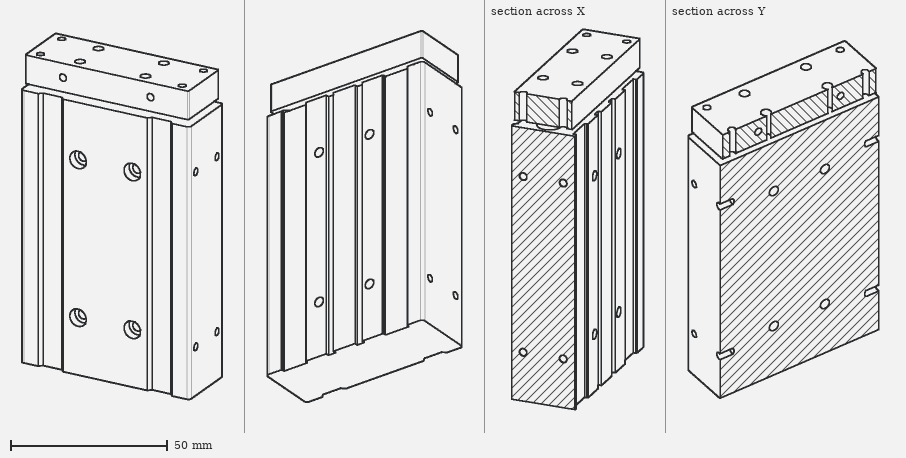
import cadquery as cq
import math

TOTAL_HEIGHT = 107.0
HOUSING_WIDTH = 62.0
HOUSING_DEPTH = 22.0
HOUSING_HEIGHT = 95.0
HOUSING_CORNER_RADIUS = 1.1

PLATE_WIDTH = 59.9
PLATE_DEPTH = 20.0
PLATE_HEIGHT = 10.0
PLATE_CORNER_RADIUS = 0.5
PLATE_BOTTOM = TOTAL_HEIGHT - PLATE_HEIGHT

ROD_GAP = PLATE_BOTTOM - HOUSING_HEIGHT
GUIDE_ROD_DIAMETER = 8.0
GUIDE_ROD_X = 20.9
PISTON_ROD_DIAMETER = 6.0

CHANNEL_INNER_X = 15.4
CHANNEL_OUTER_X = 24.6
CHANNEL_DEPTH = 1.2
FRONT_SLOPE_WIDTH = 1.2
BACK_CHAMFER = 0.37

SLOT_WIDTH = 2.8
SLOT_DEPTH = CHANNEL_DEPTH
SLOT_X = 5.7

TAP_DIAMETER = 2.5
DRILL_POINT_ANGLE = 118.0
TAP_DEPTH = 5.0

MOUNT_DIAMETER = 3.3
MOUNT_BORE_DIAMETER = 6.0
MOUNT_BORE_DEPTH = 3.3
MOUNT_X = 10.0
MOUNT_END_DISTANCE = 20.0

SIDE_TAP_Y = 7.0
SIDE_TAP_END_DISTANCE = 17.0

PLATE_FRONT_TAP_X = 16.0
PLATE_HOLE_DIAMETER = 3.3
PLATE_HOLE_X = 12.0
PLATE_HOLE_Y = 6.0
PLATE_CORNER_HOLE_X = 26.0
PLATE_CORNER_HOLE_Y = 7.0


def upright_block(width, depth, height, corner_radius):
    """Block standing on Z = 0 with rounded vertical edges."""
    block = cq.Workplane("XY").box(width, depth, height, centered=(True, True, False))
    return block.edges("|Z").fillet(corner_radius)


def front_channel(side):
    """Full-length channel in the front face, with walls sloping all the way to its floor."""
    face_y = -HOUSING_DEPTH / 2
    floor_y = face_y + CHANNEL_DEPTH
    outline = [
        (side * CHANNEL_INNER_X, face_y),
        (side * (CHANNEL_INNER_X + FRONT_SLOPE_WIDTH), floor_y),
        (side * (CHANNEL_OUTER_X - FRONT_SLOPE_WIDTH), floor_y),
        (side * CHANNEL_OUTER_X, face_y),
    ]
    return cq.Workplane("XY").polyline(outline).close().extrude(HOUSING_HEIGHT)


def back_channel(side):
    """Full-length straight-walled channel in the back face, chamfered along both mouth edges."""
    face_y = HOUSING_DEPTH / 2
    floor_y = face_y - CHANNEL_DEPTH
    outline = [
        (side * (CHANNEL_INNER_X - BACK_CHAMFER), face_y),
        (side * CHANNEL_INNER_X, face_y - BACK_CHAMFER),
        (side * CHANNEL_INNER_X, floor_y),
        (side * CHANNEL_OUTER_X, floor_y),
        (side * CHANNEL_OUTER_X, face_y - BACK_CHAMFER),
        (side * (CHANNEL_OUTER_X + BACK_CHAMFER), face_y),
    ]
    return cq.Workplane("XY").polyline(outline).close().extrude(HOUSING_HEIGHT)


def back_slot(x):
    """Full-length square slot in the back face."""
    slot = cq.Workplane("XY").box(SLOT_WIDTH, SLOT_DEPTH, HOUSING_HEIGHT, centered=(True, False, False))
    return slot.translate((x, HOUSING_DEPTH / 2 - SLOT_DEPTH, 0))


def blind_tap(start, direction):
    """Drilled blind hole with a conical tip, starting at a face and going along direction."""
    radius = TAP_DIAMETER / 2
    tip_length = radius / math.tan(math.radians(DRILL_POINT_ANGLE / 2))
    origin = cq.Vector(*start)
    axis = cq.Vector(*direction)
    shank = cq.Solid.makeCylinder(radius, TAP_DEPTH, origin, axis)
    tip = cq.Solid.makeCone(radius, 0, tip_length, origin + axis * TAP_DEPTH, axis)
    return cq.Workplane(shank.fuse(tip))


def mount_hole(x, z):
    """Hole through the housing along Y, counterbored from the front."""
    front = cq.Vector(x, -HOUSING_DEPTH / 2, z)
    along_y = cq.Vector(0, 1, 0)
    through = cq.Solid.makeCylinder(MOUNT_DIAMETER / 2, HOUSING_DEPTH, front, along_y)
    bore = cq.Solid.makeCylinder(MOUNT_BORE_DIAMETER / 2, MOUNT_BORE_DEPTH, front, along_y)
    return cq.Workplane(through.fuse(bore))


def make_housing():
    body = upright_block(HOUSING_WIDTH, HOUSING_DEPTH, HOUSING_HEIGHT, HOUSING_CORNER_RADIUS)

    for side in (-1, 1):
        body = body.cut(front_channel(side))
        body = body.cut(back_channel(side))
        body = body.cut(back_slot(side * SLOT_X))

    for x in (-MOUNT_X, MOUNT_X):
        for z in (MOUNT_END_DISTANCE, HOUSING_HEIGHT - MOUNT_END_DISTANCE):
            body = body.cut(mount_hole(x, z))

    for side in (-1, 1):
        for y in (-SIDE_TAP_Y, SIDE_TAP_Y):
            for z in (SIDE_TAP_END_DISTANCE, HOUSING_HEIGHT - SIDE_TAP_END_DISTANCE):
                body = body.cut(blind_tap((side * HOUSING_WIDTH / 2, y, z), (-side, 0, 0)))
    return body


def make_rod_plate():
    """End plate and its three rods, which stand on the top of the housing."""
    plate = upright_block(PLATE_WIDTH, PLATE_DEPTH, PLATE_HEIGHT, PLATE_CORNER_RADIUS)
    plate = plate.translate((0, 0, PLATE_BOTTOM))

    rods = (
        (-GUIDE_ROD_X, GUIDE_ROD_DIAMETER),
        (0, PISTON_ROD_DIAMETER),
        (GUIDE_ROD_X, GUIDE_ROD_DIAMETER),
    )
    for x, diameter in rods:
        rod = cq.Workplane("XY", origin=(x, 0, HOUSING_HEIGHT)).circle(diameter / 2).extrude(ROD_GAP)
        plate = plate.union(rod)

    hole_patterns = (
        (PLATE_HOLE_X, PLATE_HOLE_Y, PLATE_HOLE_DIAMETER),
        (PLATE_CORNER_HOLE_X, PLATE_CORNER_HOLE_Y, TAP_DIAMETER),
    )
    for x, y, diameter in hole_patterns:
        holes = (
            cq.Workplane("XY", origin=(0, 0, PLATE_BOTTOM))
            .rect(2 * x, 2 * y, forConstruction=True)
            .vertices()
            .circle(diameter / 2)
            .extrude(PLATE_HEIGHT)
        )
        plate = plate.cut(holes)

    for x in (-PLATE_FRONT_TAP_X, PLATE_FRONT_TAP_X):
        start = (x, -PLATE_DEPTH / 2, PLATE_BOTTOM + PLATE_HEIGHT / 2)
        plate = plate.cut(blind_tap(start, (0, 1, 0)))
    return plate


housing = make_housing()
rod_plate = make_rod_plate()
result = cq.Compound.makeCompound([housing.val(), rod_plate.val()])